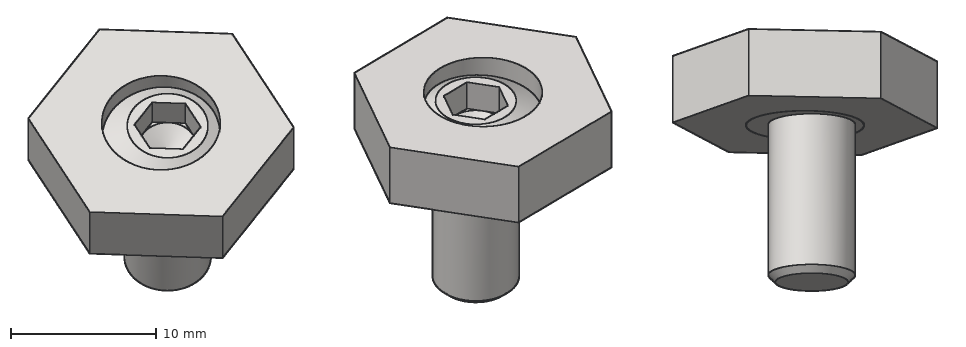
import cadquery as cq
import math

WASHER_ACROSS_CORNERS = 18.31
WASHER_THICKNESS = 4.75
BORE_DIAMETER = 8.17

TOTAL_HEIGHT = 15.95
SHANK_OFFSET = 0.51
SHANK_DIAMETER = 6.0
SHANK_CHAMFER = 0.5
HEAD_CLEARANCE = 0.04
HEAD_RECESS = 0.65
HEAD_FLAT_DIAMETER = 5.57
HEAD_CONE_SLOPE = 30.0
SOCKET_ACROSS_FLATS = 3.95
SOCKET_DEPTH = 2.23
SOCKET_TIP_ANGLE = 120.0

head_diameter = BORE_DIAMETER - 2 * HEAD_CLEARANCE
head_height = WASHER_THICKNESS - HEAD_RECESS
shank_length = TOTAL_HEIGHT - WASHER_THICKNESS


def make_washer():
    """Hexagonal washer with a straight through bore."""
    blank = cq.Workplane("XY").polygon(6, WASHER_ACROSS_CORNERS).extrude(WASHER_THICKNESS)
    return blank.faces(">Z").workplane().hole(BORE_DIAMETER)


def make_head():
    """Round head whose conical top is centred on the offset shank axis."""
    flat_radius = HEAD_FLAT_DIAMETER / 2
    cone_radius = head_diameter / 2 + 2 * SHANK_OFFSET
    cone_drop = (cone_radius - flat_radius) * math.tan(math.radians(HEAD_CONE_SLOPE))
    envelope = (
        cq.Workplane("XZ")
        .polyline([
            (0, 0),
            (cone_radius, 0),
            (cone_radius, head_height - cone_drop),
            (flat_radius, head_height),
            (0, head_height),
        ])
        .close()
        .revolve(360, (0, 0), (0, 1))
        .translate((0, SHANK_OFFSET, 0))
    )
    disc = cq.Workplane("XY").circle(head_diameter / 2).extrude(head_height)
    return disc.intersect(envelope)


def make_shank():
    """Offset shank with a chamfered lower end."""
    return (
        cq.Workplane("XY")
        .center(0, SHANK_OFFSET)
        .circle(SHANK_DIAMETER / 2)
        .extrude(-shank_length)
        .faces("<Z")
        .chamfer(SHANK_CHAMFER)
    )


def make_socket():
    """Hexagonal socket with a conical drill point at its floor."""
    tip_radius = SOCKET_ACROSS_FLATS / 2
    tip_depth = tip_radius / math.tan(math.radians(SOCKET_TIP_ANGLE / 2))
    across_corners = SOCKET_ACROSS_FLATS / math.cos(math.pi / 6)
    floor_z = head_height - SOCKET_DEPTH
    hexagon = (
        cq.Workplane("XY", origin=(0, SHANK_OFFSET, floor_z))
        .polygon(6, across_corners)
        .extrude(SOCKET_DEPTH)
    )
    tip = cq.Solid.makeCone(
        tip_radius, 0, tip_depth, pnt=cq.Vector(0, SHANK_OFFSET, floor_z), dir=cq.Vector(0, 0, -1)
    )
    return hexagon.union(cq.Workplane(tip))


def make_cam_screw():
    """Shank and head joined into one screw, with the socket cut in."""
    return make_head().union(make_shank()).cut(make_socket())


washer = make_washer()
cam_screw = make_cam_screw()

result = cq.Compound.makeCompound([washer.val(), *cam_screw.vals()])